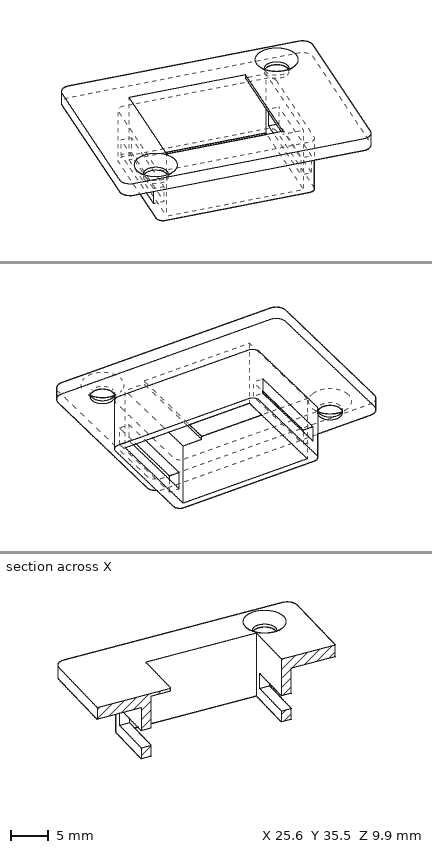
import cadquery as cq

PLATE_X = 25.65
PLATE_Y = 35.55
PLATE_THICKNESS = 1.9
PLATE_CORNER_RADIUS = 1.5

HOUSING_X = 16.75
HOUSING_Y = 22.4
HOUSING_DEPTH = 8.0
HOUSING_CORNER_RADIUS = 1.0
END_WALL = 1.5

TOTAL_HEIGHT = HOUSING_DEPTH + PLATE_THICKNESS

CAVITY_X = 14.8
CAVITY_Y = HOUSING_Y - 2 * END_WALL
LIP_THICKNESS = 0.5

OPENING_Y = 16.5
OPENING_CENTER_Y = (OPENING_Y - CAVITY_Y) / 2

WINDOW_X = 12.8
WINDOW_SILL = 1.75
FRONT_WINDOW_HEIGHT = 2.35
BACK_WINDOW_HEIGHT = 2.65

SCREW_X = 9.5
SCREW_Y = 12.0
SCREW_DIAMETER = 3.3
COUNTERSINK_DIAMETER = 5.75
COUNTERSINK_ANGLE = 82.0


def block(size_x, size_y, size_z, center_y=0.0, bottom=0.0):
    """Box centred on X, with its middle at center_y and its underside at bottom."""
    solid = cq.Workplane("XY").box(size_x, size_y, size_z, centered=(True, True, False))
    return solid.translate((0, center_y, bottom))


def end_window(side, height):
    """Cutter for the window in the end wall at -Y (side = -1) or +Y (side = 1)."""
    wall_center_y = side * (HOUSING_Y - END_WALL) / 2
    return block(WINDOW_X, 2 * END_WALL, height, wall_center_y, WINDOW_SILL)


housing = block(HOUSING_X, HOUSING_Y, HOUSING_DEPTH).edges("|Z").fillet(HOUSING_CORNER_RADIUS)
plate = block(PLATE_X, PLATE_Y, PLATE_THICKNESS, bottom=HOUSING_DEPTH)
plate = plate.edges("|Z").fillet(PLATE_CORNER_RADIUS)
body = housing.union(plate)

opening = block(CAVITY_X, OPENING_Y, TOTAL_HEIGHT, OPENING_CENTER_Y)
cavity = block(CAVITY_X, CAVITY_Y, TOTAL_HEIGHT - LIP_THICKNESS)
body = body.cut(opening).cut(cavity)

body = body.cut(end_window(-1, FRONT_WINDOW_HEIGHT)).cut(end_window(1, BACK_WINDOW_HEIGHT))

result = (
    body.faces(">Z")
    .workplane(origin=(0, 0, 0))
    .pushPoints([(-SCREW_X, SCREW_Y), (SCREW_X, -SCREW_Y)])
    .cskHole(SCREW_DIAMETER, COUNTERSINK_DIAMETER, COUNTERSINK_ANGLE)
)